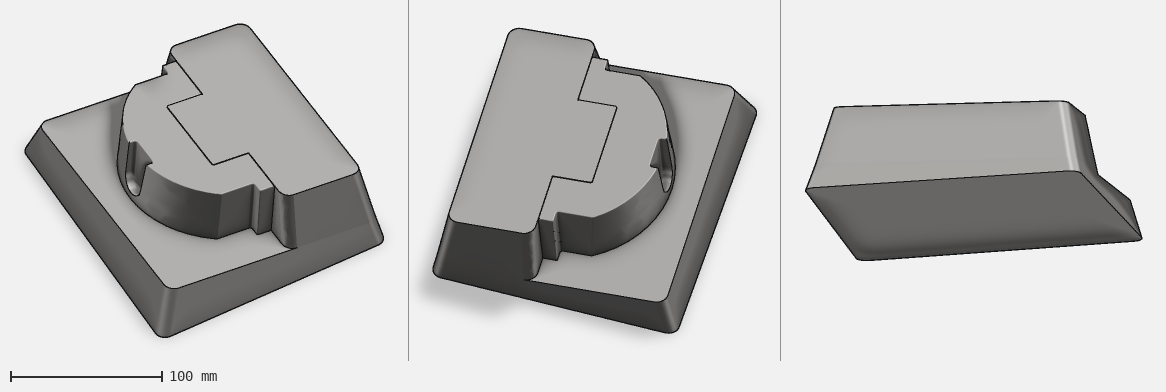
import cadquery as cq
import math

PITCH = 5.25
ROLL = 2.4
LEDGE_CENTER = (-2.5, 3.9, 20.9)
DECK_HEIGHT = 40.2

LEDGE_WIDTH = 179.1
LEDGE_LENGTH = 159.5
BASE_DRAFT = 15.55
BLOCK_SIDE_DRAFT = 13.4
BLOCK_END_DRAFT = 14.1
CORNER_RADIUS = 7.5
ROOT_DEPTH = 48.8
OVERSHOOT = 195.1

MIDLINE_X = -3.9
BLOCK_FRONT_Y = 17.5
TONGUE_HALF_WIDTH = 31.5
TONGUE_FRONT_Y = -9.5
TONGUE_RADIUS = 1.5

SHOULDER_HALF_WIDTH = 67.0
BODY_HALF_WIDTH = 58.7
SHOULDER_FRONT_Y = 6.8
NOSE_Y = -50.1
NOSE_RADIUS = 69.7
NOSE_X = -3.3
SIDE_GROWTH = 1.8
SHOULDER_DROP = 3.1
NOSE_DROP = 5.0
NOSE_DRIFT = 0.8
INSERT_BACK_Y = 29.3
INSERT_EDGE_RADIUS = 2.0
SHOULDER_EDGE_RADIUS = 0.8
RIM_RADIUS = 0.8

SLOT_HALF_WIDTH = 10.1
SLOT_CENTER_Z = 40.5
SLOT_BACK_Y = -45.8
SLOT_DRAFT = 3.0
SLOT_CORNER_RADIUS = 2.3
SLOT_RUN = 39.0
SLOT_REACH = 23.5

pitch = math.radians(PITCH)
roll = math.radians(ROLL)
x_axis = cq.Vector(1, 0, 0)
pitched_normal = cq.Vector(0, math.sin(pitch), math.cos(pitch))
deck_normal = pitched_normal * math.cos(roll) - x_axis * math.sin(roll)
deck_x = x_axis * math.cos(roll) + pitched_normal * math.sin(roll)
ledge_origin = cq.Vector(*LEDGE_CENTER)


def sloping_plane(height):
    """Plane parallel to the ledge at a height measured square to it."""
    return cq.Plane(ledge_origin + deck_normal * height, deck_x, deck_normal)


def point_on_slope(x, y, height):
    """Point straight above or below (x, y) on the sloping plane at this height."""
    origin = ledge_origin + deck_normal * height
    drop = (x - origin.x) * deck_normal.x + (y - origin.y) * deck_normal.y
    return cq.Vector(x, y, origin.z - drop / deck_normal.z)


def inset(height, draft):
    """Total narrowing of the two opposite walls over a height."""
    return 2 * height * math.tan(math.radians(draft))


def rounded_outline(height, width, length):
    """Round-cornered rectangle at a height above the ledge."""
    outline = cq.Sketch().rect(width, length).vertices().fillet(CORNER_RADIUS)
    return outline.moved(cq.Location(cq.Vector(0, 0, height)))


def tapered_solid(lower, upper):
    """Tapered walls between two outlines on the sloping frame."""
    return cq.Workplane(sloping_plane(0)).placeSketch(lower, upper).loft(ruled=True)


def block_footprint():
    """Rear block with its tongue, a prism square to the pitch only."""
    deck_point = point_on_slope(MIDLINE_X, BLOCK_FRONT_Y, DECK_HEIGHT)
    frame = cq.Workplane(cq.Plane(deck_point, x_axis, pitched_normal))
    depth = 2 * DECK_HEIGHT
    tongue_length = (BLOCK_FRONT_Y - TONGUE_FRONT_Y) / math.cos(pitch)
    rear = frame.center(0, OVERSHOOT / 2).rect(2 * OVERSHOOT, OVERSHOOT).extrude(depth, both=True)
    tongue = (
        frame.rect(2 * TONGUE_HALF_WIDTH, 2 * tongue_length)
        .extrude(depth, both=True)
        .edges(cq.selectors.ParallelDirSelector(pitched_normal))
        .fillet(TONGUE_RADIUS)
    )
    return rear.union(tongue)


def make_base(ledge_outline):
    """Tapered base below the ledge, trimmed flat at the ground."""
    spread = inset(ROOT_DEPTH, BASE_DRAFT)
    root_outline = rounded_outline(-ROOT_DEPTH, LEDGE_WIDTH + spread, LEDGE_LENGTH + spread)
    ground = cq.Workplane().rect(2 * OVERSHOOT, 2 * OVERSHOOT).extrude(-OVERSHOOT)
    return tapered_solid(root_outline, ledge_outline).cut(ground)


def make_block(ledge_outline):
    """Raised rear block with its tongue, front corners rounded."""
    deck_outline = rounded_outline(
        DECK_HEIGHT,
        LEDGE_WIDTH - inset(DECK_HEIGHT, BLOCK_SIDE_DRAFT),
        LEDGE_LENGTH - inset(DECK_HEIGHT, BLOCK_END_DRAFT),
    )
    block = tapered_solid(ledge_outline, deck_outline).intersect(block_footprint())
    for side in (-1, 1):
        middle = point_on_slope(MIDLINE_X + side * LEDGE_WIDTH / 2, BLOCK_FRONT_Y, DECK_HEIGHT / 2)
        front_corner = cq.selectors.NearestToPointSelector(middle.toTuple())
        block = block.edges(front_corner).fillet(CORNER_RADIUS)
    return block


def make_housing():
    ledge_outline = rounded_outline(0, LEDGE_WIDTH, LEDGE_LENGTH)
    return make_base(ledge_outline).union(make_block(ledge_outline))


def insert_outline(height, growth, shoulder_y, nose_y, nose_x):
    """Closed outline of the insert on one sloping plane: shoulders, straight sides, round nose."""
    shoulder = SHOULDER_HALF_WIDTH + growth
    body = BODY_HALF_WIDTH + growth

    def at(x, y):
        return point_on_slope(x, y, height)

    def nose_end(x):
        return at(x, nose_y + NOSE_RADIUS - math.sqrt(NOSE_RADIUS**2 - (x - nose_x) ** 2))

    left = MIDLINE_X - body
    right = MIDLINE_X + body
    left_side = [
        at(MIDLINE_X - shoulder, INSERT_BACK_Y),
        at(MIDLINE_X - shoulder, shoulder_y),
        at(left, shoulder_y),
        nose_end(left),
    ]
    right_side = [
        nose_end(right),
        at(right, shoulder_y),
        at(MIDLINE_X + shoulder, shoulder_y),
        at(MIDLINE_X + shoulder, INSERT_BACK_Y),
    ]
    nose = cq.Edge.makeThreePointArc(left_side[-1], at(nose_x, nose_y), right_side[0])
    edges = [cq.Edge.makeLine(a, b) for a, b in zip(left_side, left_side[1:])]
    edges.append(nose)
    edges += [cq.Edge.makeLine(a, b) for a, b in zip(right_side, right_side[1:])]
    edges.append(cq.Edge.makeLine(right_side[-1], left_side[0]))
    return cq.Wire.assembleEdges(edges)


def insert_blank():
    """Insert without the slot, still overlapping the block."""
    foot = insert_outline(
        0, SIDE_GROWTH, SHOULDER_FRONT_Y - SHOULDER_DROP, NOSE_Y - NOSE_DROP, NOSE_X + NOSE_DRIFT
    )
    deck = insert_outline(DECK_HEIGHT, 0, SHOULDER_FRONT_Y, NOSE_Y, NOSE_X - NOSE_DRIFT)
    blank = cq.Workplane(cq.Solid.makeLoft([foot, deck], True))
    body_x = BODY_HALF_WIDTH + SIDE_GROWTH / 2
    shoulder_x = SHOULDER_HALF_WIDTH + SIDE_GROWTH / 2
    shoulder_y = SHOULDER_FRONT_Y - SHOULDER_DROP / 2
    nose_end_y = NOSE_Y + NOSE_RADIUS / 2
    upright_edges = [
        (body_x, shoulder_y, INSERT_EDGE_RADIUS),
        (body_x, nose_end_y, INSERT_EDGE_RADIUS),
        (shoulder_x, shoulder_y, SHOULDER_EDGE_RADIUS),
    ]
    for side in (-1, 1):
        for offset, y, radius in upright_edges:
            middle = point_on_slope(MIDLINE_X + side * offset, y, DECK_HEIGHT / 2)
            edge = cq.selectors.NearestToPointSelector(middle.toTuple())
            blank = blank.edges(edge).fillet(radius)
    return blank


def thumb_slot():
    """Cutter for the slot: round lower end, back wall square to the pitch, rounded back corners."""
    outward = cq.Vector(0, -math.cos(pitch), math.sin(pitch))
    back_wall = cq.Plane(cq.Vector(NOSE_X, SLOT_BACK_Y, SLOT_CENTER_Z), x_axis, outward)
    top_half_width = SLOT_HALF_WIDTH + SLOT_RUN * math.tan(math.radians(SLOT_DRAFT))
    return (
        cq.Workplane(back_wall)
        .moveTo(-top_half_width, SLOT_RUN)
        .lineTo(-SLOT_HALF_WIDTH, 0)
        .threePointArc((0, -SLOT_HALF_WIDTH), (SLOT_HALF_WIDTH, 0))
        .lineTo(top_half_width, SLOT_RUN)
        .close()
        .extrude(SLOT_REACH)
        .faces(cq.selectors.DirectionMinMaxSelector(outward, False))
        .edges()
        .fillet(SLOT_CORNER_RADIUS)
    )


def make_insert(housing):
    insert = insert_blank().cut(housing).cut(thumb_slot())
    rim = cq.selectors.DirectionMinMaxSelector(deck_normal, True)
    return insert.faces(rim).edges().fillet(RIM_RADIUS)


housing = make_housing()
insert = make_insert(housing)
result = cq.Compound.makeCompound([housing.solids().val(), insert.solids().val()])